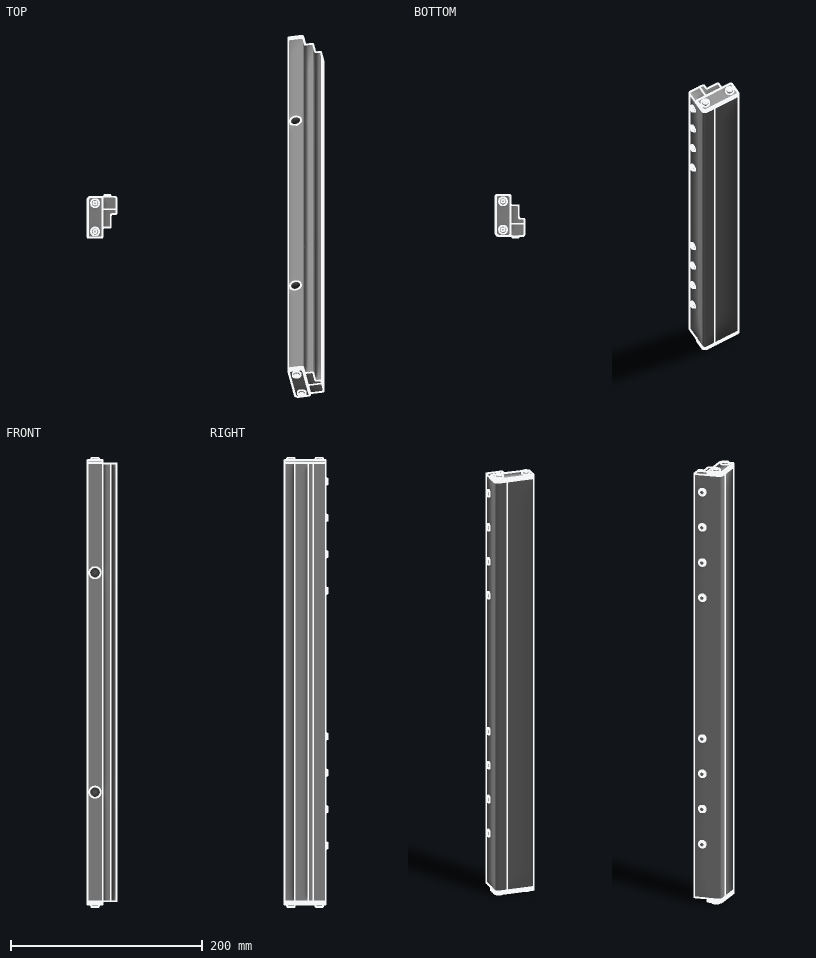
import cadquery as cq

TOTAL_LENGTH = 468.5
X_LEFT = -15.2
X_RIGHT = 15.2
Y_FRONT = -22.5
Y_BUTTON_TOP = 22.5

BUTTON_HEIGHT = 2.0
Y_BACK = Y_BUTTON_TOP - BUTTON_HEIGHT
HOUSING_WIDTH = 16.0
X_HOUSING = X_LEFT + HOUSING_WIDTH
X_STEP = 9.5
Y_STEP = 2.5
Y_RAIL_FRONT = -11.5
Y_SPLIT = 7.5
BACK_LEFT_RADIUS = 3.7
BACK_RIGHT_RADIUS = 2.5
FRONT_RADIUS = 2.0
RAIL_RADIUS = 1.5

SCREW_HEAD_HEIGHT = 2.5
CAP_THICKNESS = 2.5
SEAL_THICKNESS = 1.5
Z_CAP_OUTER = TOTAL_LENGTH / 2 - SCREW_HEAD_HEIGHT
Z_CAP_INNER = Z_CAP_OUTER - CAP_THICKNESS
Z_PROFILE_END = Z_CAP_INNER - SEAL_THICKNESS

CAP_CORNER_RADIUS = 2.0
CAP_EDGE_CHAMFER = 0.65
SCREW_HEAD_DIAMETER = 8.5
SCREW_HEAD_ROUNDING = 2.0
SCREW_SPACING = 29.5
SOCKET_DIAMETER = 3.7
SOCKET_DEPTH = 1.5

HOLE_DIAMETER = 11.5
HOLE_DEPTH = 14.0
HOLE_HEIGHT = 114.5

BUTTON_BASE_DIAMETER = 7.5
BUTTON_TOP_DIAMETER = 5.5
BUTTON_X = 5.5
BUTTON_PITCH = 38.0
BUTTON_TOP_Z = 209.5
BUTTON_STEPS = (0, 1, 2, 3, 7, 8, 9, 10)

HOUSING_X = (X_LEFT + X_HOUSING) / 2
HOUSING_Y = (Y_FRONT + Y_BACK) / 2
HOUSING_DEPTH = Y_BACK - Y_FRONT


def fillet_corner(body, x, y, radius):
    """Round the lengthwise edge at (x, y)."""
    return body.edges(cq.selectors.NearestToPointSelector((x, y, 0))).fillet(radius)


def make_profile():
    """Full extrusion: housing with the stepped rail on its right side."""
    corners = [
        (X_LEFT, Y_FRONT),
        (X_HOUSING, Y_FRONT),
        (X_HOUSING, Y_RAIL_FRONT),
        (X_STEP, Y_RAIL_FRONT),
        (X_STEP, Y_STEP),
        (X_RIGHT, Y_STEP),
        (X_RIGHT, Y_BACK),
        (X_LEFT, Y_BACK),
    ]
    radii = [FRONT_RADIUS] * 2 + [RAIL_RADIUS] * 4 + [BACK_RIGHT_RADIUS, BACK_LEFT_RADIUS]
    outline = cq.Workplane("XY", origin=(0, 0, -Z_PROFILE_END)).polyline(corners).close()
    profile = outline.extrude(2 * Z_PROFILE_END)
    for (x, y), radius in zip(corners, radii):
        profile = fillet_corner(profile, x, y, radius)
    return profile


def make_half_block(y_start, y_end):
    """Block that covers the whole profile between two Y planes."""
    block = cq.Workplane("XY").box(X_RIGHT - X_LEFT, y_end - y_start, 2 * Z_PROFILE_END)
    return block.translate((0, (y_start + y_end) / 2, 0))


def make_front_half(profile):
    """Front half of the profile, with two blind holes in its front face."""
    half = profile.intersect(make_half_block(Y_FRONT, Y_SPLIT))
    for z in (-HOLE_HEIGHT, HOLE_HEIGHT):
        hole = cq.Solid.makeCylinder(
            HOLE_DIAMETER / 2, HOLE_DEPTH, cq.Vector(HOUSING_X, Y_FRONT, z), cq.Vector(0, 1, 0)
        )
        half = half.cut(cq.Workplane(hole))
    return half


def make_button():
    """Tapered button that stands on the back of the rail at Z = 0."""
    cone = cq.Solid.makeCone(
        BUTTON_BASE_DIAMETER / 2,
        BUTTON_TOP_DIAMETER / 2,
        BUTTON_HEIGHT,
        cq.Vector(BUTTON_X, Y_BACK, 0),
        cq.Vector(0, 1, 0),
    )
    return cq.Workplane(cone)


def make_back_half(profile):
    """Back half of the profile, with its row of buttons."""
    half = profile.intersect(make_half_block(Y_SPLIT, Y_BACK))
    button = make_button()
    for step in BUTTON_STEPS:
        half = half.union(button.translate((0, 0, BUTTON_TOP_Z - step * BUTTON_PITCH)))
    return half


def make_end_plate(z_start, thickness):
    """Plate with the outline of the housing and rounded corners."""
    outline = cq.Workplane("XY", origin=(HOUSING_X, HOUSING_Y, z_start)).rect(HOUSING_WIDTH, HOUSING_DEPTH)
    plate = outline.extrude(thickness).edges("|Z and (<Y or >X)").fillet(CAP_CORNER_RADIUS)
    return plate.edges("|Z and <X and >Y").fillet(BACK_LEFT_RADIUS)


def make_screw_heads():
    """Two rounded screw heads with hexagonal sockets on the outside of the top cap."""
    heads = (
        cq.Workplane("XY", origin=(HOUSING_X, HOUSING_Y, Z_CAP_OUTER))
        .rarray(4.5, SCREW_SPACING, 1, 2)
        .circle(SCREW_HEAD_DIAMETER / 2)
        .extrude(SCREW_HEAD_HEIGHT)
        .faces(">Z")
        .edges()
        .fillet(SCREW_HEAD_ROUNDING)
    )
    sockets = (
        cq.Workplane("XY", origin=(HOUSING_X, HOUSING_Y, TOTAL_LENGTH / 2))
        .rarray(4.5, SCREW_SPACING, 1, 2)
        .polygon(6, SOCKET_DIAMETER)
        .extrude(-SOCKET_DEPTH)
    )
    return heads.cut(sockets)


def make_top_cap():
    """Top end cap with a chamfered outer rim and two screw heads."""
    plate = make_end_plate(Z_CAP_INNER, CAP_THICKNESS)
    return plate.faces(">Z").chamfer(CAP_EDGE_CHAMFER).union(make_screw_heads())


def both_ends(top_body):
    """The body at the top end and its mirror image at the bottom end."""
    return [top_body.val(), top_body.mirror("XY").val()]


full_profile = make_profile()
front_half = make_front_half(full_profile)
back_half = make_back_half(full_profile)
caps = both_ends(make_top_cap())
seals = both_ends(make_end_plate(Z_PROFILE_END, SEAL_THICKNESS))

result = cq.Compound.makeCompound([front_half.val(), back_half.val(), *caps, *seals])